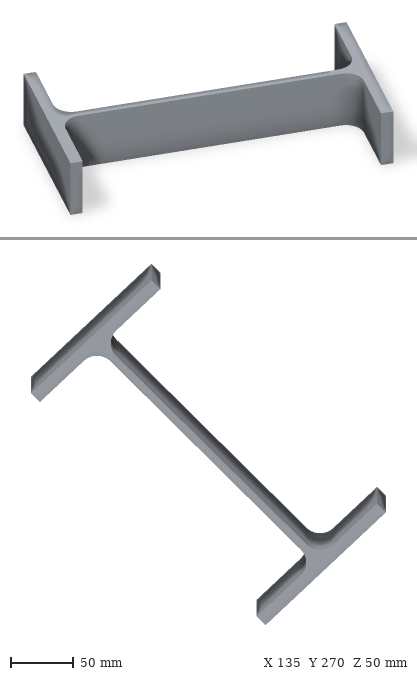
import cadquery as cq

beam_depth = 270.0
flange_width = 135.0
beam_length = 50.0
flange_thickness = 10.3
web_thickness = 6.5
root_radius = 15.0

web_depth = beam_depth - 2 * flange_thickness
flange_offset = (beam_depth - flange_thickness) / 2


def block(width, depth):
    """Rectangular bar centred on the beam axis, running the beam length."""
    return cq.Workplane("XY").rect(width, depth).extrude(beam_length)


beam = block(web_thickness, web_depth)
for side in (-1, 1):
    flange = block(flange_width, flange_thickness)
    beam = beam.union(flange.translate((0, side * flange_offset, 0)))

root_edges = cq.selectors.BoxSelector(
    (-web_thickness, -beam_depth / 2, 0),
    (web_thickness, beam_depth / 2, beam_length),
)
result = beam.edges("|Z").edges(root_edges).fillet(root_radius)